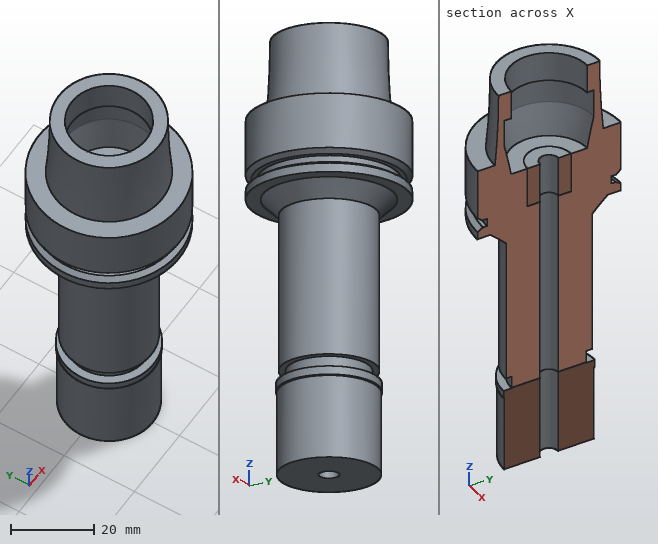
import cadquery as cq

TOTAL_HEIGHT = 110.0
SHANK_LENGTH = 20.0
FLANGE_LENGTH = 20.0
FLANGE_TOP = TOTAL_HEIGHT - SHANK_LENGTH
FLANGE_BOTTOM = FLANGE_TOP - FLANGE_LENGTH
NUT_HEIGHT = 23.1
NECK_LENGTH = 3.3
BODY_BOTTOM = NUT_HEIGHT + NECK_LENGTH

SHANK_TOP_RADIUS = 14.2
SHANK_BASE_RADIUS = 15.2
SHANK_MID_SHARE = 0.25
SHANK_MID_RADIUS = SHANK_TOP_RADIUS + (SHANK_BASE_RADIUS - SHANK_TOP_RADIUS) * SHANK_MID_SHARE

FLANGE_RADIUS = 20.0
GROOVE_RADIUS = 17.4
GROOVE_UPPER_EDGE = 76.1
GROOVE_TOP = 75.0
GROOVE_BOTTOM = 73.0
GROOVE_LOWER_EDGE = 72.2
GROOVE_UPPER_LIP_RADIUS = 18.7
GROOVE_LOWER_LIP_RADIUS = 18.5

BODY_RADIUS = 12.1
CONE_HEIGHT = 4.0
CONE_TOP_RADIUS = 16.4
NECK_RADIUS = 10.5

BORE_RADIUS = 10.6
LIP_DEPTH = 8.0
UNDERCUT_RADIUS = 12.4
UNDERCUT_DEPTH = 15.5
BORE_DEPTH = 24.2

SCREW_RADIUS = 6.0
SCREW_LENGTH = 11.0
SCREW_TOP = TOTAL_HEIGHT - BORE_DEPTH
SCREW_BOTTOM = SCREW_TOP - SCREW_LENGTH

PASSAGE_RADIUS = 2.5

NUT_RADIUS = 12.5
COLLAR_RADIUS = 12.8
COLLAR_HEIGHT = 2.3
COLLAR_CHAMFER = COLLAR_RADIUS - NUT_RADIUS


def revolve_about_z(profile):
    """Turn a closed (radius, height) profile around the Z axis."""
    return profile.close().revolve(360, (0, 0, 0), (0, 1, 0))


def tube(outer_radius, bottom, height):
    """Cylinder with the central passage through it."""
    ring = cq.Workplane("XY").workplane(offset=bottom).circle(outer_radius).circle(PASSAGE_RADIUS)
    return ring.extrude(height)


def make_holder_outside():
    profile = (
        cq.Workplane("XZ")
        .moveTo(0, TOTAL_HEIGHT)
        .lineTo(SHANK_TOP_RADIUS, TOTAL_HEIGHT)
        .threePointArc(
            (SHANK_MID_RADIUS, TOTAL_HEIGHT - SHANK_LENGTH / 2),
            (SHANK_BASE_RADIUS, FLANGE_TOP),
        )
        .lineTo(FLANGE_RADIUS, FLANGE_TOP)
        .lineTo(FLANGE_RADIUS, GROOVE_UPPER_EDGE)
        .lineTo(GROOVE_UPPER_LIP_RADIUS, GROOVE_TOP)
        .lineTo(GROOVE_RADIUS, GROOVE_TOP)
        .lineTo(GROOVE_RADIUS, GROOVE_BOTTOM)
        .lineTo(GROOVE_LOWER_LIP_RADIUS, GROOVE_BOTTOM)
        .lineTo(FLANGE_RADIUS, GROOVE_LOWER_EDGE)
        .lineTo(FLANGE_RADIUS, FLANGE_BOTTOM)
        .lineTo(CONE_TOP_RADIUS, FLANGE_BOTTOM)
        .lineTo(BODY_RADIUS, FLANGE_BOTTOM - CONE_HEIGHT)
        .lineTo(BODY_RADIUS, BODY_BOTTOM)
        .lineTo(NECK_RADIUS, BODY_BOTTOM)
        .lineTo(NECK_RADIUS, NUT_HEIGHT)
        .lineTo(0, NUT_HEIGHT)
    )
    return revolve_about_z(profile)


def make_holder_cavity():
    """Clamping bore, screw hole and passage as one stepped cutter."""
    profile = (
        cq.Workplane("XZ")
        .moveTo(0, TOTAL_HEIGHT)
        .lineTo(BORE_RADIUS, TOTAL_HEIGHT)
        .lineTo(BORE_RADIUS, TOTAL_HEIGHT - LIP_DEPTH)
        .lineTo(UNDERCUT_RADIUS, TOTAL_HEIGHT - LIP_DEPTH)
        .lineTo(UNDERCUT_RADIUS, TOTAL_HEIGHT - UNDERCUT_DEPTH)
        .lineTo(BORE_RADIUS, SCREW_TOP)
        .lineTo(SCREW_RADIUS, SCREW_TOP)
        .lineTo(SCREW_RADIUS, SCREW_BOTTOM)
        .lineTo(PASSAGE_RADIUS, SCREW_BOTTOM)
        .lineTo(PASSAGE_RADIUS, NUT_HEIGHT)
        .lineTo(0, NUT_HEIGHT)
    )
    return revolve_about_z(profile)


def make_holder():
    return make_holder_outside().cut(make_holder_cavity())


def make_screw():
    return tube(SCREW_RADIUS, SCREW_BOTTOM, SCREW_LENGTH)


def make_nut():
    profile = (
        cq.Workplane("XZ")
        .moveTo(PASSAGE_RADIUS, 0)
        .lineTo(NUT_RADIUS, 0)
        .lineTo(NUT_RADIUS, NUT_HEIGHT - COLLAR_HEIGHT)
        .lineTo(COLLAR_RADIUS, NUT_HEIGHT - COLLAR_HEIGHT + COLLAR_CHAMFER)
        .lineTo(COLLAR_RADIUS, NUT_HEIGHT)
        .lineTo(PASSAGE_RADIUS, NUT_HEIGHT)
    )
    return revolve_about_z(profile)


holder = make_holder()
screw = make_screw()
nut = make_nut()

result = cq.Compound.makeCompound([holder.val(), screw.val(), nut.val()])